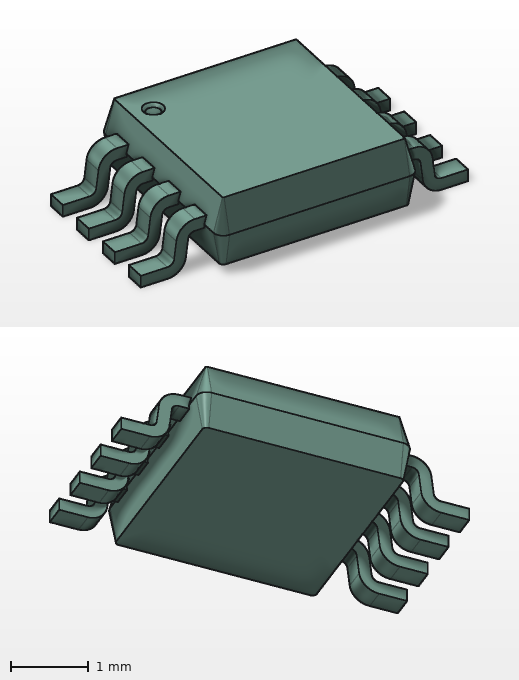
import cadquery as cq
import math

body_size = 3.0
body_bottom = 0.15
body_height = 1.0
half_height = body_height / 2
parting_z = body_bottom + half_height
body_top = body_bottom + body_height
corner_radius = 0.15
upper_draft = 15.0
lower_draft = 10.0

mark_x = -0.9
mark_y = -1.05
mark_radius = 0.15
mark_floor_radius = 0.105
mark_depth = 0.05

pins_per_side = 4
pin_pitch = 0.65
lead_span = 4.9
lead_width = 0.3
lead_thickness = 0.18
lead_top = 0.78
foot_length = 0.4
bend_inner_radius = 0.1
bend_outer_radius = bend_inner_radius + lead_thickness
lean = math.radians(7)
lead_embed = 0.2
lead_root = body_size / 2 - lead_embed


def make_body():
    """Two drafted halves that meet at the parting plane."""

    def half(height, draft):
        outline = cq.Sketch().rect(body_size, body_size).vertices().fillet(corner_radius)
        return cq.Workplane("XY", origin=(0, 0, parting_z)).placeSketch(outline).extrude(height, taper=draft)

    return half(half_height, upper_draft).union(half(-half_height, lower_draft))


def make_pin_mark():
    """Cone frustum that narrows downwards from the top face."""
    return (
        cq.Workplane("XY", origin=(mark_x, mark_y, body_top))
        .circle(mark_radius)
        .workplane(offset=-mark_depth)
        .circle(mark_floor_radius)
        .loft(ruled=True)
    )


def polar(center, radius, angle):
    """Point on a circle in the lead's profile plane."""
    return (center[0] + radius * math.cos(angle), center[1] + radius * math.sin(angle))


def make_lead():
    """Lead that points to +Y, centred on X = 0; profile coordinates are (Y, Z)."""
    toe = lead_span / 2
    heel_center = (toe - foot_length, lead_thickness + bend_inner_radius)

    shoulder_z = lead_top - bend_outer_radius
    bend_sum = bend_inner_radius + bend_outer_radius
    rise = shoulder_z - heel_center[1]
    leg_length = (rise + bend_sum * math.sin(lean)) / math.cos(lean)
    center_gap = bend_sum * math.cos(lean) + leg_length * math.sin(lean)
    shoulder_center = (heel_center[0] - center_gap, shoulder_z)

    heel_end = math.pi + lean
    heel_mid = (heel_end + 1.5 * math.pi) / 2
    shoulder_end = lean
    shoulder_mid = (shoulder_end + math.pi / 2) / 2

    profile = (
        cq.Workplane("YZ", origin=(-lead_width / 2, 0, 0))
        .moveTo(toe, 0)
        .lineTo(toe, lead_thickness)
        .lineTo(heel_center[0], lead_thickness)
        .threePointArc(
            polar(heel_center, bend_inner_radius, heel_mid),
            polar(heel_center, bend_inner_radius, heel_end),
        )
        .lineTo(*polar(shoulder_center, bend_outer_radius, shoulder_end))
        .threePointArc(
            polar(shoulder_center, bend_outer_radius, shoulder_mid),
            (shoulder_center[0], lead_top),
        )
        .lineTo(lead_root, lead_top)
        .lineTo(lead_root, lead_top - lead_thickness)
        .lineTo(shoulder_center[0], lead_top - lead_thickness)
        .threePointArc(
            polar(shoulder_center, bend_inner_radius, shoulder_mid),
            polar(shoulder_center, bend_inner_radius, shoulder_end),
        )
        .lineTo(*polar(heel_center, bend_outer_radius, heel_end))
        .threePointArc(
            polar(heel_center, bend_outer_radius, heel_mid),
            (heel_center[0], 0),
        )
        .close()
    )
    return profile.extrude(lead_width)


result = make_body().cut(make_pin_mark())

back_lead = make_lead()
front_lead = back_lead.mirror("XZ")
first_pin_x = -pin_pitch * (pins_per_side - 1) / 2
for pin in range(pins_per_side):
    pin_offset = (first_pin_x + pin * pin_pitch, 0, 0)
    result = result.union(back_lead.translate(pin_offset))
    result = result.union(front_lead.translate(pin_offset))